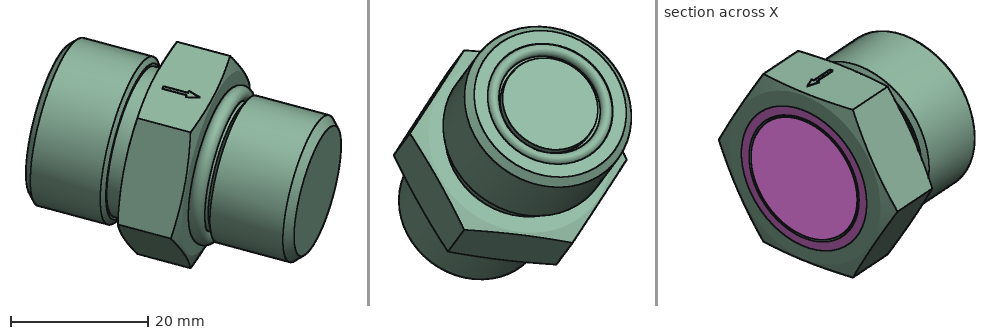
import cadquery as cq
import math

OVERALL_LENGTH = 41.61

FACE_RING_SECTION = 1.78
FACE_RING_PROTRUSION = 0.53
FACE_GROOVE_OUTER_DIAMETER = 19.05
FACE_GROOVE_INNER_DIAMETER = 14.48

FACE_THREAD_DIAMETER = 25.4
FACE_THREAD_LENGTH = 12.53
FACE_THREAD_CHAMFER = 1.13
FACE_THREAD_RUNOUT_LENGTH = 0.53
FACE_NECK_DIAMETER = 22.76

HEX_ACROSS_FLATS = 28.575
HEX_START = 15.97
HEX_WIDTH = 9.65
HEX_CHAMFER_FACE_DIAMETER = 27.8
HEX_CHAMFER_ANGLE = 15

PORT_THREAD_DIAMETER = 22.23
PORT_THREAD_START = 28.26
PORT_NECK_DIAMETER = 19.68
RUNOUT_ANGLE = 30

PORT_RING_SECTION = 2.4
PORT_RING_OUTER_DIAMETER = 24.11

ARROW_START = 17.95
ARROW_LENGTH = 5.77
ARROW_HEAD_LENGTH = 1.95
ARROW_HEAD_WIDTH = 1.36
ARROW_SHAFT_WIDTH = 0.52
ARROW_CENTRE_Y = -1.11
ARROW_DEPTH = 0.1

hex_end = HEX_START + HEX_WIDTH
face_plane = FACE_RING_PROTRUSION
face_thread_end = face_plane + FACE_THREAD_LENGTH

X_AXIS_START = (0, 0, 0)
X_AXIS_END = (1, 0, 0)


def revolve_about_x(outline):
    """Turn a closed (x, radius) outline fully about the X axis."""
    return cq.Workplane("XY").polyline(outline).close().revolve(360, X_AXIS_START, X_AXIS_END)


def make_ring(centre_x, centre_radius, section):
    """O-ring of round section, coaxial with X."""
    return (
        cq.Workplane("XY")
        .center(centre_x, centre_radius)
        .circle(section / 2)
        .revolve(360, (0, -centre_radius, 0), (1, -centre_radius, 0))
    )


def make_face_thread_end():
    thread_radius = FACE_THREAD_DIAMETER / 2
    neck_radius = FACE_NECK_DIAMETER / 2
    runout_start = face_thread_end - FACE_THREAD_RUNOUT_LENGTH
    runout_radius = thread_radius - FACE_THREAD_RUNOUT_LENGTH / math.tan(math.radians(RUNOUT_ANGLE))
    return revolve_about_x([
        (face_plane, 0),
        (face_plane, thread_radius - FACE_THREAD_CHAMFER),
        (face_plane + FACE_THREAD_CHAMFER, thread_radius),
        (runout_start, thread_radius),
        (face_thread_end, runout_radius),
        (face_thread_end, neck_radius),
        (HEX_START, neck_radius),
        (HEX_START, 0),
    ])


def make_hexagon():
    """Hexagon with two flats facing +Z and -Z and both ends chamfered by a cone."""
    corner_radius = HEX_ACROSS_FLATS / math.sqrt(3)
    prism = (
        cq.Workplane("YZ", origin=(HEX_START, 0, 0))
        .polygon(6, 2 * corner_radius)
        .extrude(HEX_WIDTH)
    )
    face_radius = HEX_CHAMFER_FACE_DIAMETER / 2
    chamfer_length = (corner_radius - face_radius) * math.tan(math.radians(HEX_CHAMFER_ANGLE))
    chamfer_envelope = revolve_about_x([
        (HEX_START, 0),
        (HEX_START, face_radius),
        (HEX_START + chamfer_length, corner_radius),
        (hex_end - chamfer_length, corner_radius),
        (hex_end, face_radius),
        (hex_end, 0),
    ])
    return prism.intersect(chamfer_envelope)


def make_port_thread_end():
    thread_radius = PORT_THREAD_DIAMETER / 2
    neck_radius = PORT_NECK_DIAMETER / 2
    thread_depth = thread_radius - neck_radius
    runout_length = thread_depth * math.tan(math.radians(RUNOUT_ANGLE))
    return revolve_about_x([
        (hex_end, 0),
        (hex_end, neck_radius),
        (PORT_THREAD_START, neck_radius),
        (PORT_THREAD_START + runout_length, thread_radius),
        (OVERALL_LENGTH - thread_depth, thread_radius),
        (OVERALL_LENGTH, neck_radius),
        (OVERALL_LENGTH, 0),
    ])


def make_face_groove():
    """Ring groove whose floor the face seal ring rests on."""
    return (
        cq.Workplane("YZ", origin=(face_plane, 0, 0))
        .circle(FACE_GROOVE_OUTER_DIAMETER / 2)
        .circle(FACE_GROOVE_INNER_DIAMETER / 2)
        .extrude(FACE_RING_SECTION - FACE_RING_PROTRUSION)
    )


def make_flow_arrow():
    shaft_end = ARROW_LENGTH - ARROW_HEAD_LENGTH
    return (
        cq.Workplane("XY", origin=(ARROW_START, ARROW_CENTRE_Y, HEX_ACROSS_FLATS / 2))
        .polyline([
            (0, -ARROW_SHAFT_WIDTH / 2),
            (shaft_end, -ARROW_SHAFT_WIDTH / 2),
            (shaft_end, -ARROW_HEAD_WIDTH / 2),
            (ARROW_LENGTH, 0),
            (shaft_end, ARROW_HEAD_WIDTH / 2),
            (shaft_end, ARROW_SHAFT_WIDTH / 2),
            (0, ARROW_SHAFT_WIDTH / 2),
        ])
        .close()
        .extrude(-ARROW_DEPTH)
    )


face_ring = make_ring(
    FACE_RING_SECTION / 2,
    (FACE_GROOVE_OUTER_DIAMETER - FACE_RING_SECTION) / 2,
    FACE_RING_SECTION,
)

port_ring = make_ring(
    hex_end + PORT_RING_SECTION / 2,
    (PORT_RING_OUTER_DIAMETER - PORT_RING_SECTION) / 2,
    PORT_RING_SECTION,
)

fitting = (
    make_face_thread_end()
    .union(make_hexagon())
    .union(make_port_thread_end())
    .cut(make_face_groove())
    .cut(make_flow_arrow())
    .cut(port_ring)
)

result = cq.Compound.makeCompound([fitting.val(), face_ring.val(), port_ring.val()])